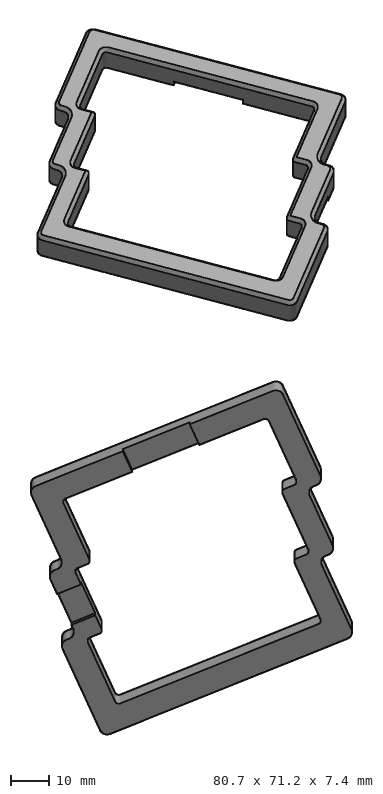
import cadquery as cq

length = 80.7
depth = 71.15
height = 7.4
wall = 6.5
edge_chamfer = 1.0

row_pitch = 19.0
row_shift = (length - depth) / 2
row_width = length - 2 * row_shift
opening_clearance = 0.5
ledge_thickness = 2.1

opening_shift_x = -0.25
opening_shift_y = 0.25

outer_radius = 2.0
inner_radius = 1.05

notch_height = 1.5
notch_reach = 1.5 * wall
rear_notch_length = 18.95
rear_notch_center_x = 35.0
side_notch_length = 9.35
side_notch_center_y = 36.6


def stepped_prism(inset, step_offset, corner_radius):
    """Upright prism with a staircase on its left and right sides.

    Left steps lie step_offset below the row boundaries and right steps lie
    the same distance above them, so the outline has half-turn symmetry.
    """
    back = depth - inset
    left = inset
    right = row_width - inset
    upper_boundary = (depth + row_pitch) / 2
    lower_boundary = (depth - row_pitch) / 2

    left_side = [(left, back)]
    right_side = [(right, back)]
    for row, boundary in enumerate((upper_boundary, lower_boundary), start=1):
        shift = row * row_shift
        left_step = boundary - step_offset
        right_step = boundary + step_offset
        left_side += [(left + shift - row_shift, left_step), (left + shift, left_step)]
        right_side += [(right + shift - row_shift, right_step), (right + shift, right_step)]
    left_side.append((left + 2 * row_shift, inset))
    right_side.append((right + 2 * row_shift, inset))

    outline = left_side + right_side[::-1]
    prism = cq.Workplane("XY").polyline(outline).close().extrude(height)
    return prism.edges("|Z").fillet(corner_radius)


def underside_notch(size_x, size_y, center_x, center_y):
    """Cutter for a rectangular notch rising from the bottom face."""
    block = cq.Workplane("XY").box(size_x, size_y, notch_height, centered=(True, True, False))
    return block.translate((center_x, center_y, 0))


body = stepped_prism(0, opening_clearance + ledge_thickness, outer_radius)
opening = stepped_prism(wall, opening_clearance, inner_radius)
opening = opening.translate((opening_shift_x, opening_shift_y, 0))
frame = body.cut(opening).faces(">Z").edges().chamfer(edge_chamfer)

rear_notch = underside_notch(rear_notch_length, notch_reach, rear_notch_center_x, depth - wall / 2)
middle_row_right = row_width + row_shift
side_notch = underside_notch(notch_reach, side_notch_length, middle_row_right - wall / 2, side_notch_center_y)

result = frame.cut(rear_notch).cut(side_notch)